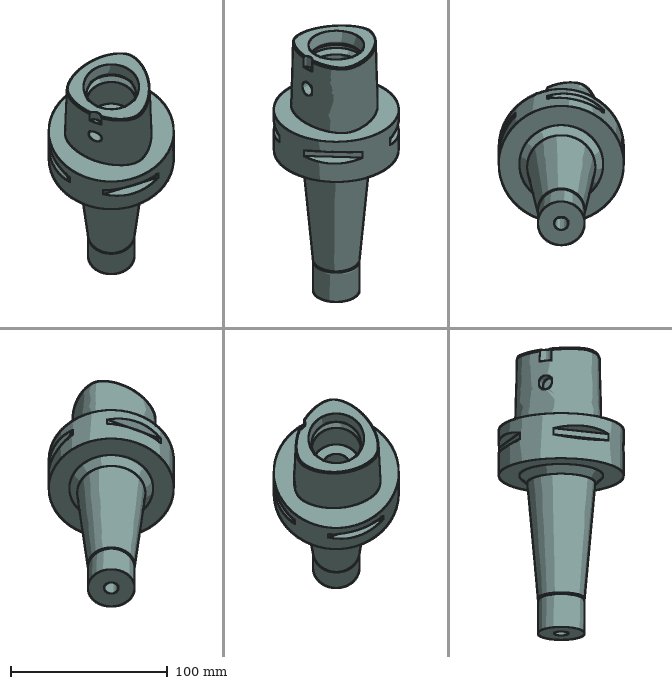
import cadquery as cq
import math

TOTAL_HEIGHT = 183.0
SHANK_LENGTH = 48.0
FLANGE_THICKNESS = 30.0
FLANGE_TOP = TOTAL_HEIGHT - SHANK_LENGTH
FLANGE_BOTTOM = FLANGE_TOP - FLANGE_THICKNESS
SHOULDER_HEIGHT = 5.0
SHOULDER_BOTTOM = FLANGE_BOTTOM - SHOULDER_HEIGHT
NUT_HEIGHT = 22.0
NUT_GAP = 1.0
NOSE_BOTTOM = NUT_HEIGHT + NUT_GAP

FLANGE_DIAMETER = 80.0
NOSE_TOP_DIAMETER = 43.6
SHOULDER_DIAMETER = NOSE_TOP_DIAMETER + 2 * SHOULDER_HEIGHT
NOSE_BOTTOM_DIAMETER = 30.0
NECK_DIAMETER = 23.0

SHANK_BASE_WIDTH = 55.4
SHANK_TAPER = 1 / 20
LOBE_ECCENTRICITY = 2.0
SHANK_CHAMFER_HEIGHT = 1.2
SHANK_CHAMFER_INSET = 0.6
SECTION_POINTS = 36

MOUTH_DIAMETER = 35.5
BORE_DIAMETER = 31.6
MOUTH_DEPTH = 7.0
GROOVE_START = 8.2
GROOVE_END = 16.5
GROOVE_DEPTH = 3.0
BORE_DEPTH = 40.0
INNER_BORE_DIAMETER = 18.0
INNER_BORE_DEPTH = SHANK_LENGTH + FLANGE_THICKNESS
COOLANT_DIAMETER = 10.2

NOTCH_RADIUS = 5.0
NOTCH_DEPTH = 8.0
NOTCH_FLOOR_Y = -22.2
SIDE_HOLE_DIAMETER = 9.3
SIDE_HOLE_LEVEL = 25.5
SIDE_HOLE_FLOOR_Y = -18.0

SLOT_COUNT = 4
SLOT_FLOOR_RADIUS = 35.3
SLOT_FLOOR_HEIGHT = 4.1
SLOT_FLARE = 2.3
SLOT_DROP = 12.0

NUT_DIAMETER = 30.0
NUT_CHAMFER_HEIGHT = 1.8
NUT_CHAMFER_INSET = 0.15
NUT_HOLE_DIAMETER = 9.0


def shank_section(width, level):
    """Three-lobed outline at a height, with one lobe on +Y."""
    def outline(t):
        angle = 2 * math.pi * t
        e = LOBE_ECCENTRICITY
        x = width / 2 * math.sin(angle) + 2 * e * math.sin(2 * angle) + e * math.sin(4 * angle)
        y = width / 2 * math.cos(angle) - 2 * e * math.cos(2 * angle) + e * math.cos(4 * angle)
        return (x, -y)

    points = [outline(i / SECTION_POINTS) for i in range(SECTION_POINTS)]
    plane = cq.Workplane("XY", origin=(0, 0, level))
    return plane.spline(points, periodic=True).close().val()


def make_shank():
    chamfer_start = TOTAL_HEIGHT - SHANK_CHAMFER_HEIGHT
    upper_width = SHANK_BASE_WIDTH - SHANK_TAPER * (SHANK_LENGTH - SHANK_CHAMFER_HEIGHT)
    base = shank_section(SHANK_BASE_WIDTH, FLANGE_TOP)
    shoulder = shank_section(upper_width, chamfer_start)
    top = shank_section(upper_width - 2 * SHANK_CHAMFER_INSET, TOTAL_HEIGHT)
    taper = cq.Workplane(cq.Solid.makeLoft([base, shoulder], True))
    return taper.union(cq.Workplane(cq.Solid.makeLoft([shoulder, top], True)))


def revolve_profile(points):
    """Turn a closed (radius, height) outline about Z."""
    return cq.Workplane("XZ").polyline(points).close().revolve(360, (0, 0), (0, 1))


def make_turned_body():
    return revolve_profile([
        (0, NUT_HEIGHT),
        (NECK_DIAMETER / 2, NUT_HEIGHT),
        (NECK_DIAMETER / 2, NOSE_BOTTOM),
        (NOSE_BOTTOM_DIAMETER / 2, NOSE_BOTTOM),
        (NOSE_TOP_DIAMETER / 2, SHOULDER_BOTTOM),
        (SHOULDER_DIAMETER / 2, FLANGE_BOTTOM),
        (FLANGE_DIAMETER / 2, FLANGE_BOTTOM),
        (FLANGE_DIAMETER / 2, FLANGE_TOP),
        (0, FLANGE_TOP),
    ])


def make_bore():
    """Conical mouth, 45 degree sided groove, then three stepped bores down to the nut."""
    bore = BORE_DIAMETER / 2
    groove = bore + GROOVE_DEPTH
    return revolve_profile([
        (0, TOTAL_HEIGHT),
        (MOUTH_DIAMETER / 2, TOTAL_HEIGHT),
        (bore, TOTAL_HEIGHT - MOUTH_DEPTH),
        (bore, TOTAL_HEIGHT - GROOVE_START),
        (groove, TOTAL_HEIGHT - GROOVE_START - GROOVE_DEPTH),
        (groove, TOTAL_HEIGHT - GROOVE_END + GROOVE_DEPTH),
        (bore, TOTAL_HEIGHT - GROOVE_END),
        (bore, TOTAL_HEIGHT - BORE_DEPTH),
        (INNER_BORE_DIAMETER / 2, TOTAL_HEIGHT - BORE_DEPTH),
        (INNER_BORE_DIAMETER / 2, TOTAL_HEIGHT - INNER_BORE_DEPTH),
        (COOLANT_DIAMETER / 2, TOTAL_HEIGHT - INNER_BORE_DEPTH),
        (COOLANT_DIAMETER / 2, NUT_HEIGHT),
        (0, NUT_HEIGHT),
    ])


def make_notch():
    """Round-backed driving notch in the shank's top edge."""
    origin = (0, NOTCH_FLOOR_Y - NOTCH_RADIUS, TOTAL_HEIGHT - NOTCH_DEPTH)
    return cq.Workplane("XY", origin=origin).circle(NOTCH_RADIUS).extrude(NOTCH_DEPTH)


def make_side_hole():
    origin = (0, SIDE_HOLE_FLOOR_Y, FLANGE_TOP + SIDE_HOLE_LEVEL)
    return cq.Workplane("XZ", origin=origin).circle(SIDE_HOLE_DIAMETER / 2).extrude(SHANK_BASE_WIDTH / 2)


def make_gripper_slot(angle):
    """Flat-floored slot with flared flanks, cut across the flange rim."""
    rim = FLANGE_DIAMETER / 2
    inner = SLOT_FLOOR_HEIGHT / 2
    outer = inner + SLOT_FLARE
    profile = [(SLOT_FLOOR_RADIUS, -inner), (rim, -outer), (rim, outer), (SLOT_FLOOR_RADIUS, inner)]
    slot = (
        cq.Workplane("XZ", origin=(0, 0, FLANGE_TOP - SLOT_DROP))
        .polyline(profile)
        .close()
        .extrude(rim, both=True)
    )
    return slot.rotate((0, 0, 0), (0, 0, 1), angle)


def make_holder():
    holder = make_turned_body().union(make_shank())
    holder = holder.cut(make_bore()).cut(make_notch()).cut(make_side_hole())
    pitch = 360 / SLOT_COUNT
    for i in range(SLOT_COUNT):
        holder = holder.cut(make_gripper_slot((i + 0.5) * pitch))
    return holder


def make_nut():
    outer = NUT_DIAMETER / 2
    hole = NUT_HOLE_DIAMETER / 2
    return revolve_profile([
        (hole, 0),
        (outer, 0),
        (outer, NUT_HEIGHT - NUT_CHAMFER_HEIGHT),
        (outer - NUT_CHAMFER_INSET, NUT_HEIGHT),
        (hole, NUT_HEIGHT),
    ])


holder = make_holder()
nut = make_nut()
result = cq.Compound.makeCompound([holder.val(), nut.val()])